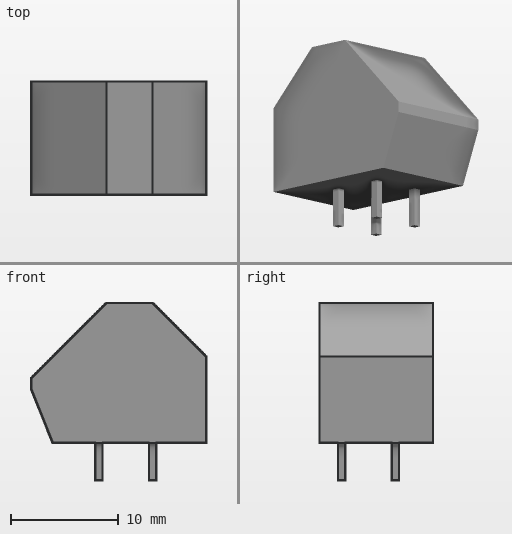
import cadquery as cq

body_length = 16.3
body_width = 10.55
body_height = 13.0
nose_undercut = 2.0
nose_bottom = 5.0
nose_top = 6.0
front_slope = body_height - nose_top
rear_slope = 5.0

pin_side = 0.7
pin_length = 3.5
pin_pitch = 5.0
first_pin_x = 6.3
first_pin_y = 2.05
pin_columns = 2
pin_rows = 2


def make_housing():
    """Extrude the side profile across the full width, from Y = 0 to +Y."""
    profile = [
        (nose_undercut, 0),
        (body_length, 0),
        (body_length, body_height - rear_slope),
        (body_length - rear_slope, body_height),
        (front_slope, body_height),
        (0, nose_top),
        (0, nose_bottom),
    ]
    return cq.Workplane("XZ").polyline(profile).close().extrude(-body_width)


def make_pin(x, y):
    """Square pin hanging from the board face."""
    return cq.Workplane("XY").center(x, y).rect(pin_side, pin_side).extrude(-pin_length)


result = make_housing()
for column in range(pin_columns):
    for row in range(pin_rows):
        pin_x = first_pin_x + column * pin_pitch
        pin_y = first_pin_y + row * pin_pitch
        result = result.union(make_pin(pin_x, pin_y))